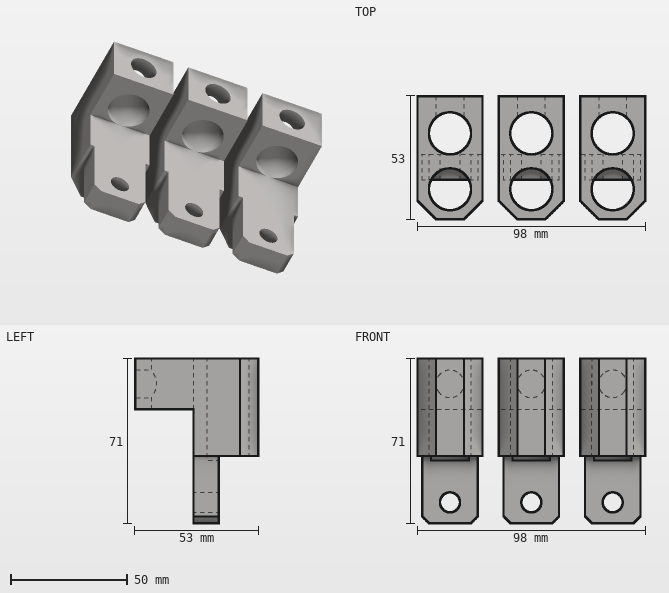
import cadquery as cq

terminal_count = 3
pitch = 35.0

overall_height = 71.0
block_width = 28.0
block_depth = 53.0
block_height = 42.0
leg_depth = 28.0
arm_height = 22.0
corner_chamfer = 8.0

bore_diameter = 18.0
front_bore_y = 13.0
bore_spacing = 24.0
bore_recess = 2.0

screw_diameter = 12.0
screw_drop = 11.0

tab_width = 24.0
tab_thickness = 11.0
tab_chamfer = 3.0
tab_hole_diameter = 8.5
tab_hole_height = 9.0

block_bottom = overall_height - block_height
rear_bore_y = front_bore_y + bore_spacing


def make_block():
    """L-shaped block with chamfered front corners, centred on X = 0."""
    arm_bottom = overall_height - arm_height
    block = (
        cq.Workplane("YZ")
        .moveTo(0, block_bottom)
        .lineTo(leg_depth, block_bottom)
        .lineTo(leg_depth, arm_bottom)
        .lineTo(block_depth, arm_bottom)
        .lineTo(block_depth, overall_height)
        .lineTo(0, overall_height)
        .close()
        .extrude(block_width / 2, both=True)
    )
    return block.faces("<Y").edges("|Z").chamfer(corner_chamfer)


def make_tab():
    """Flat tab with chamfered lower corners."""
    tab = cq.Workplane("XY").box(
        tab_width, tab_thickness, block_bottom, centered=(True, False, False)
    )
    tab = tab.faces("<Z").edges("|Y").chamfer(tab_chamfer)
    return tab.translate((0, leg_depth - tab_thickness, 0))


def vertical_bore(y, bottom):
    """Cutter for a bore that runs from the given bottom up to the top face."""
    return (
        cq.Workplane("XY", origin=(0, y, bottom))
        .circle(bore_diameter / 2)
        .extrude(overall_height - bottom)
    )


def cross_hole(z, diameter, y_start, y_end):
    """Cutter for a round hole along Y."""
    return (
        cq.Workplane("XZ", origin=(0, y_start, z))
        .circle(diameter / 2)
        .extrude(y_start - y_end)
    )


def make_terminal():
    """One complete terminal: block, tab and all holes."""
    screw_z = overall_height - screw_drop
    return (
        make_block()
        .union(make_tab())
        .cut(vertical_bore(front_bore_y, block_bottom - bore_recess))
        .cut(vertical_bore(rear_bore_y, block_bottom))
        .cut(cross_hole(tab_hole_height, tab_hole_diameter, 0, leg_depth))
        .cut(cross_hole(screw_z, screw_diameter, rear_bore_y, block_depth))
    )


terminal = make_terminal()
terminals = [terminal.translate((i * pitch, 0, 0)).val() for i in range(terminal_count)]

result = cq.Compound.makeCompound(terminals)